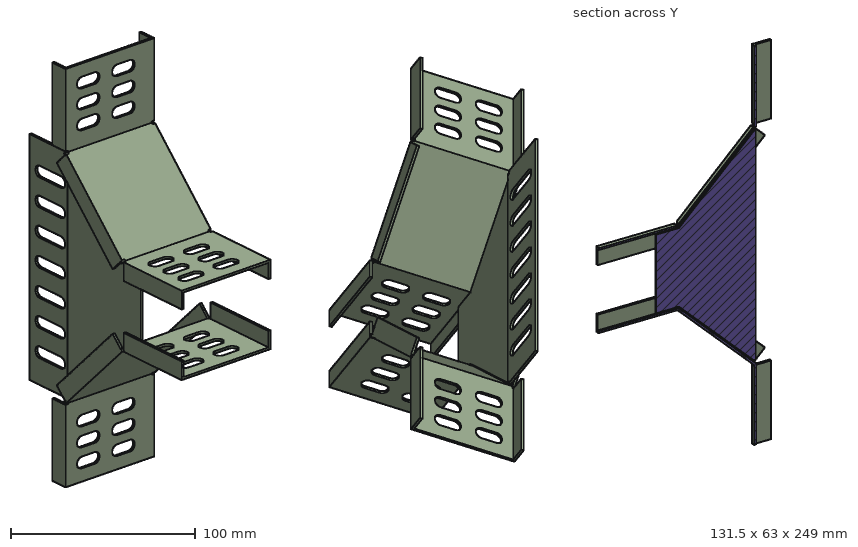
import cadquery as cq
import math

total_width = 131.5
total_depth = 63.0
total_height = 249.0
sheet = 1.5

run_face_x = 33.9
run_leg_length = 49.8
branch_leg_length = 49.5
flange_width = 11.2
relief_half_width = 0.7
relief_depth = 2.0

side_slot_length = 16.0
side_slot_width = 7.0
side_slot_pitch = 12.5
slots_per_row = 3
end_to_first_slot = 11.5
slot_row_ys = (16.2, 41.0)

edge_clearance = 0.5
joggle_x = 32.0
plate_end_x = 95.4
strip_half_height = 73.2
flat_half_height = 71.7
plate_slot_count = 7
plate_slot_length = 25.0
plate_slot_width = 7.0
plate_slot_pitch = 18.0
plate_slot_x = 17.5

bend_angle = math.radians(45)
half_height = total_height / 2
run_bend_z = half_height - run_leg_length
branch_bend_x = total_width - branch_leg_length
branch_face_z = run_bend_z - (branch_bend_x - run_face_x)
diagonal_length = math.hypot(branch_bend_x - run_face_x, run_bend_z - branch_face_z)
bend_setback = sheet * math.tan(bend_angle / 2)
plate_front_y = sheet


def extrude_y(outline, y_start, depth):
    """Prism from an XZ outline, filling y_start to y_start + depth."""
    return cq.Workplane("XZ", origin=(0, y_start, 0)).polyline(outline).close().extrude(-depth)


def make_web():
    outer_corners = [
        (run_face_x, half_height),
        (run_face_x, run_bend_z),
        (branch_bend_x, branch_face_z),
        (total_width, branch_face_z),
    ]
    inner_corners = [
        (total_width, branch_face_z - sheet),
        (branch_bend_x - bend_setback, branch_face_z - sheet),
        (run_face_x - sheet, run_bend_z - bend_setback),
        (run_face_x - sheet, half_height),
    ]
    return extrude_y(outer_corners + inner_corners, 0, total_depth)


def make_flange_pair(start, direction, length):
    """Front and back flange along one straight stretch of the web's outer face.

    The flanges lie to the right of the direction of travel.
    """
    along_x, along_z = direction
    across_x, across_z = along_z, -along_x
    end = (start[0] + along_x * length, start[1] + along_z * length)
    outline = [
        start,
        end,
        (end[0] + across_x * flange_width, end[1] + across_z * flange_width),
        (start[0] + across_x * flange_width, start[1] + across_z * flange_width),
    ]
    front = extrude_y(outline, 0, sheet)
    back = extrude_y(outline, total_depth - sheet, sheet)
    return front.add(back)


def make_flanges():
    diagonal = math.cos(bend_angle)
    diagonal_start = (
        run_face_x + diagonal * relief_half_width,
        run_bend_z - diagonal * relief_half_width,
    )
    return [
        make_flange_pair((run_face_x, half_height), (0, -1), run_leg_length - relief_half_width),
        make_flange_pair(diagonal_start, (diagonal, -diagonal), diagonal_length - 2 * relief_half_width),
        make_flange_pair(
            (branch_bend_x + relief_half_width, branch_face_z),
            (1, 0),
            branch_leg_length - relief_half_width,
        ),
    ]


def make_leg_cutters(run_points, branch_points, slot_length, slot_width):
    """Slots along Y through the run leg at (Y, Z) points and the branch leg at (X, Y) points."""
    start_gap = sheet / 2
    cut_depth = 2 * sheet
    run_cutters = (
        cq.Workplane("YZ", origin=(run_face_x - sheet - start_gap, 0, 0))
        .pushPoints(run_points)
        .slot2D(slot_length, slot_width)
        .extrude(cut_depth)
    )
    branch_cutters = (
        cq.Workplane("XY", origin=(0, 0, branch_face_z - sheet - start_gap))
        .pushPoints(branch_points)
        .slot2D(slot_length, slot_width, 90)
        .extrude(cut_depth)
    )
    return run_cutters.vals() + branch_cutters.vals()


def make_bend_reliefs():
    """Round-ended notches that part the flanges at both bends."""
    side_faces = (0, total_depth)
    run_points = [(y, run_bend_z) for y in side_faces]
    branch_points = [(branch_bend_x, y) for y in side_faces]
    return make_leg_cutters(run_points, branch_points, 2 * relief_depth, 2 * relief_half_width)


def make_side_slots():
    end_offsets = [end_to_first_slot + i * side_slot_pitch for i in range(slots_per_row)]
    run_points = [(y, half_height - offset) for y in slot_row_ys for offset in end_offsets]
    branch_points = [(total_width - offset, y) for y in slot_row_ys for offset in end_offsets]
    return make_leg_cutters(run_points, branch_points, side_slot_length, side_slot_width)


def make_upper_side_sheet():
    side_sheet = make_web()
    for flange_pair in make_flanges():
        for flange in flange_pair.vals():
            side_sheet = side_sheet.union(cq.Workplane(flange))
    for cutter in make_bend_reliefs() + make_side_slots():
        side_sheet = side_sheet.cut(cq.Workplane(cutter))
    return side_sheet


def make_plate_profile():
    """Joggled sheet section in XY, as a bar over the full plate height."""
    section = [
        (0, plate_front_y + sheet),
        (joggle_x, plate_front_y + sheet),
        (joggle_x + sheet, plate_front_y),
        (plate_end_x, plate_front_y),
        (plate_end_x, plate_front_y + sheet),
        (joggle_x + sheet + bend_setback, plate_front_y + sheet),
        (joggle_x + bend_setback, plate_front_y + 2 * sheet),
        (0, plate_front_y + 2 * sheet),
    ]
    return (
        cq.Workplane("XY", origin=(0, 0, -strip_half_height))
        .polyline(section)
        .close()
        .extrude(2 * strip_half_height)
    )


def make_plate_outline():
    """Plate outline that follows the inside of the side sheets with a clearance."""
    branch_edge_z = branch_face_z - sheet - edge_clearance
    diagonal_sum = run_face_x + run_bend_z - (sheet + edge_clearance) / math.cos(bend_angle)
    upper_corners = [
        (0, strip_half_height),
        (joggle_x, strip_half_height),
        (joggle_x, flat_half_height),
        (diagonal_sum - flat_half_height, flat_half_height),
        (diagonal_sum - branch_edge_z, branch_edge_z),
        (plate_end_x, branch_edge_z),
    ]
    lower_corners = [(x, -z) for x, z in reversed(upper_corners)]
    return extrude_y(upper_corners + lower_corners, 0, total_depth)


def make_plate_slots():
    middle = (plate_slot_count - 1) / 2
    centres = [(plate_slot_x, (i - middle) * plate_slot_pitch) for i in range(plate_slot_count)]
    return (
        cq.Workplane("XZ")
        .pushPoints(centres)
        .slot2D(plate_slot_length, plate_slot_width)
        .extrude(-total_depth)
    )


def make_cover_plate():
    return make_plate_profile().intersect(make_plate_outline()).cut(make_plate_slots())


upper_side_sheet = make_upper_side_sheet()
lower_side_sheet = upper_side_sheet.mirror("XY")
cover_plate = make_cover_plate()

result = cq.Compound.makeCompound(
    [
        upper_side_sheet.solids().val(),
        lower_side_sheet.solids().val(),
        cover_plate.solids().val(),
    ]
)